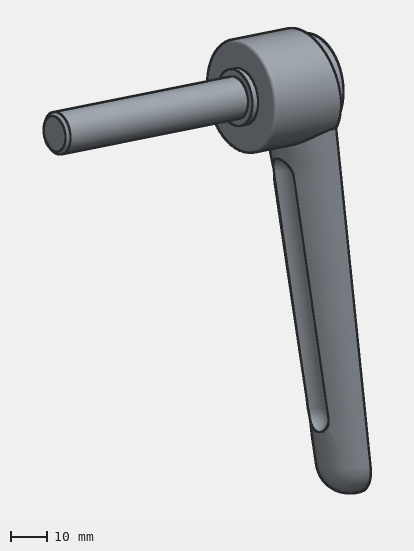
import cadquery as cq
import math


HUB_RADIUS = 16.0
HUB_EDGE_FILLET = 1.0
COLLAR_RADIUS = 8.0
COLLAR_LENGTH = 2.0
STUD_RADIUS = 6.0
STUD_REACH = 65.0
STUD_CHAMFER = 1.0

CAP_RADIUS = 14.0
CAP_RIM_Y = 24.4
CAP_SHOULDER_RADIUS = 13.0
CAP_SHOULDER_Y = 26.0
CAP_APEX_Y = 27.7

LEVER_TILT = 8.0
LEVER_TIP_Y = 39.5
LEVER_TIP_DROP = 119.93
ROOT_RADIUS = 12.45
TIP_RADIUS = 9.5

GROOVE_RADIUS = 5.0
GROOVE_AXIS_HEIGHT = 1.0
GROOVE_START = 23.6
GROOVE_END = 95.5

tilt = math.radians(LEVER_TILT)
back_y_at_axis = LEVER_TIP_Y - LEVER_TIP_DROP * math.tan(tilt)
lever_length = LEVER_TIP_DROP / math.cos(tilt)
body_length = lever_length - TIP_RADIUS

lever_plane = cq.Plane(
    origin=(0, back_y_at_axis, 0),
    xDir=(1, 0, 0),
    normal=(0, math.sin(tilt), -math.cos(tilt)),
)

lever_outline_plane = cq.Plane(
    origin=lever_plane.origin,
    xDir=lever_plane.xDir,
    normal=-lever_plane.yDir,
)


def cylinder_y(radius, y_start, y_end):
    """Cylinder on the Y axis between two Y positions."""
    solid = cq.Solid.makeCylinder(radius, y_end - y_start, cq.Vector(0, y_start, 0), cq.Vector(0, 1, 0))
    return cq.Workplane(obj=solid)


def make_hub():
    """Round hub, cut off at the back by the plane of the lever's flat back."""
    hub = cylinder_y(HUB_RADIUS, 0, CAP_APEX_Y).faces("<Y").fillet(HUB_EDGE_FILLET)
    size = 4 * HUB_RADIUS
    behind_back_plane = cq.Workplane(lever_plane).center(0, -size / 2).box(size, size, size)
    return hub.cut(behind_back_plane)


def make_stud():
    """Collar on the hub face and the chamfered stud running through it."""
    collar = cylinder_y(COLLAR_RADIUS, -COLLAR_LENGTH, HUB_EDGE_FILLET)
    stud = cylinder_y(STUD_RADIUS, -STUD_REACH, 0).faces("<Y").chamfer(STUD_CHAMFER)
    return collar.union(stud)


def make_cap():
    """Cap with a rounded shoulder and a shallow dome, revolved about Y."""
    base_y = CAP_RIM_Y / 2
    sag = CAP_APEX_Y - CAP_SHOULDER_Y
    dome_radius = (CAP_SHOULDER_RADIUS**2 + sag**2) / (2 * sag)
    half_radius = CAP_SHOULDER_RADIUS / 2
    dome_mid_y = CAP_APEX_Y - dome_radius + math.sqrt(dome_radius**2 - half_radius**2)
    return (
        cq.Workplane("XY")
        .moveTo(0, base_y)
        .lineTo(CAP_RADIUS, base_y)
        .lineTo(CAP_RADIUS, CAP_RIM_Y)
        .tangentArcPoint((CAP_SHOULDER_RADIUS, CAP_SHOULDER_Y), relative=False)
        .threePointArc((half_radius, dome_mid_y), (0, CAP_APEX_Y))
        .close()
        .revolve(360, (0, 0, 0), (0, 1, 0))
    )


def make_lever():
    """Tapered half-round bar with a half-ball end: a half turn of its outline in the flat back."""
    ball_corner = TIP_RADIUS * math.cos(math.radians(45))
    return (
        cq.Workplane(lever_outline_plane)
        .lineTo(ROOT_RADIUS, 0)
        .lineTo(TIP_RADIUS, body_length)
        .threePointArc((ball_corner, body_length + ball_corner), (0, lever_length))
        .close()
        .revolve(180, (0, 0, 0), (0, 1, 0))
    )


def groove_centre(distance):
    """Point on the groove axis at a distance along the lever."""
    ridge_height = ROOT_RADIUS + (TIP_RADIUS - ROOT_RADIUS) * distance / body_length
    return lever_plane.toWorldCoords((0, ridge_height + GROOVE_AXIS_HEIGHT, distance))


def make_groove_cutter():
    """Round bar parallel to the ridge, with a ball at each end."""
    start = groove_centre(GROOVE_START)
    end = groove_centre(GROOVE_END)
    axis = end - start
    bar = cq.Workplane(obj=cq.Solid.makeCylinder(GROOVE_RADIUS, axis.Length, start, axis))
    for centre in (start, end):
        bar = bar.union(cq.Workplane(cq.Plane(centre, normal=axis)).sphere(GROOVE_RADIUS))
    return bar


lever = make_lever().cut(make_groove_cutter())
result = make_hub().union(lever).union(make_cap()).union(make_stud())